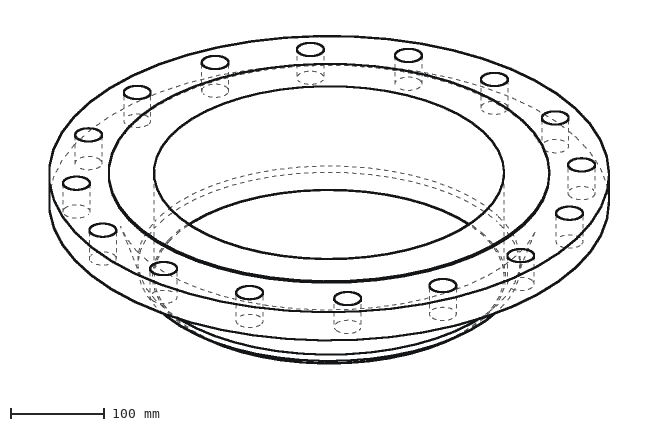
import cadquery as cq
import math

flange_diameter = 597.0
total_height = 127.0
bore_diameter = 373.0

raised_face_diameter = 470.0
raised_face_height = 2.0
plate_bottom_depth = 36.5

hub_base_diameter = 456.0
hub_fillet_radius = 10.0

weld_end_diameter = 407.5
land_height = 8.0
bevel_height = 12.0
bevel_angle = 37.5

bolt_count = 16
bolt_circle_diameter = 539.5
bolt_hole_diameter = 28.5

plate_bottom_z = total_height - plate_bottom_depth
plate_top_z = total_height - raised_face_height
land_top_z = bevel_height + land_height
weld_end_radius = weld_end_diameter / 2
root_radius = weld_end_radius - bevel_height / math.tan(math.radians(bevel_angle))


def revolved_body():
    """Flange, hub and weld end turned about Z as one profile."""
    bore_radius = bore_diameter / 2
    flange_radius = flange_diameter / 2
    raised_face_radius = raised_face_diameter / 2
    profile = [
        (bore_radius, 0),
        (root_radius, 0),
        (weld_end_radius, bevel_height),
        (weld_end_radius, land_top_z),
        (hub_base_diameter / 2, plate_bottom_z),
        (flange_radius, plate_bottom_z),
        (flange_radius, plate_top_z),
        (raised_face_radius, plate_top_z),
        (raised_face_radius, total_height),
        (bore_radius, total_height),
    ]
    return cq.Workplane("XZ").polyline(profile).close().revolve(360, (0, 0, 0), (0, 1, 0))


def fillet_hub(body):
    """Round the inside corner between hub taper and plate underside."""
    box_half_width = (hub_base_diameter / 2 + flange_diameter / 2) / 2
    box_half_height = raised_face_height
    corner = cq.selectors.BoxSelector(
        (-box_half_width, -box_half_width, plate_bottom_z - box_half_height),
        (box_half_width, box_half_width, plate_bottom_z + box_half_height),
        boundingbox=True,
    )
    return body.edges("%CIRCLE").edges(corner).fillet(hub_fillet_radius)


def bolt_holes():
    """Through-hole cutters evenly spaced on the bolt circle."""
    return (
        cq.Workplane("XY")
        .workplane(offset=plate_bottom_z)
        .polarArray(bolt_circle_diameter / 2, 0, 360, bolt_count)
        .circle(bolt_hole_diameter / 2)
        .extrude(plate_bottom_depth)
    )


result = fillet_hub(revolved_body()).cut(bolt_holes())